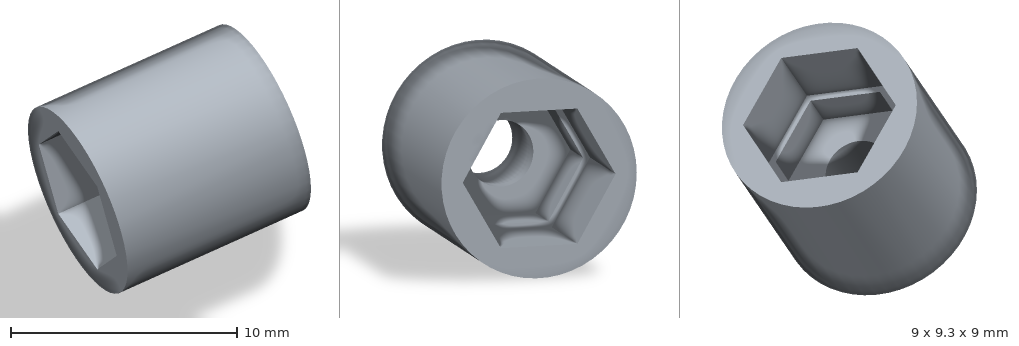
import cadquery as cq
import math

length = 9.3
outer_diameter = 9.0
bore_diameter = 3.0

entry_flats = 6.1
entry_depth = 4.0
inner_flats = 5.55
inner_depth = 6.0


def front_plane():
    """Workplane on the front face, with its normal along -Y."""
    return cq.Workplane("XZ", origin=(0, -length / 2, 0))


def across_corners(flats):
    return flats / math.cos(math.pi / 6)


def hex_pocket(flats, depth):
    """Hexagonal prism with corners on +/-X, from the front face toward +Y."""
    return front_plane().polygon(6, across_corners(flats)).extrude(-depth)


sleeve = front_plane().circle(outer_diameter / 2).circle(bore_diameter / 2).extrude(-length)

result = sleeve.cut(hex_pocket(entry_flats, entry_depth)).cut(hex_pocket(inner_flats, inner_depth))